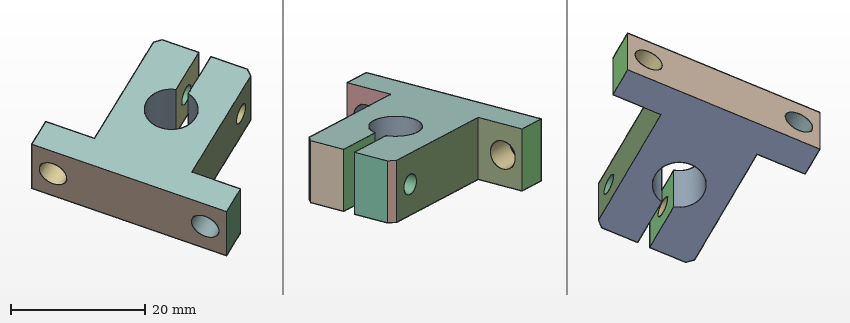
import cadquery as cq

base_length = 32.0
base_thickness = 5.0
height = 10.0

total_depth = 27.0
block_width = base_length / 2
corner_chamfer = 1.0

bore_diameter = 8.0
bore_y = 15.0
slot_width = 2.0

mount_diameter = 4.5
mount_spacing = 25.0

screw_diameter = 3.23
screw_from_end = 4.48


def make_body():
    """T-shaped body with the two free corners of the block chamfered."""
    flange = cq.Workplane("XY").box(base_length, base_thickness, height, centered=(True, False, True))
    block = (
        cq.Workplane("XY")
        .box(block_width, total_depth, height, centered=(True, False, True))
        .edges("|Z and >Y")
        .chamfer(corner_chamfer)
    )
    return flange.union(block)


def make_shaft_clamp():
    """Bore along Z and the slot from its centre out through the +Y end."""
    bore = cq.Workplane("XY").center(0, bore_y).circle(bore_diameter / 2).extrude(height / 2, both=True)
    slot = (
        cq.Workplane("XY")
        .center(0, bore_y)
        .box(slot_width, total_depth - bore_y, height, centered=(True, False, True))
    )
    return bore.union(slot)


def make_mount_holes():
    """Pair of holes through the flange wings."""
    return (
        cq.Workplane("XZ")
        .pushPoints([(side * mount_spacing / 2, 0) for side in (-1, 1)])
        .circle(mount_diameter / 2)
        .extrude(-base_thickness)
    )


def make_screw_hole():
    """Hole through both clamp jaws."""
    return (
        cq.Workplane("YZ")
        .center(total_depth - screw_from_end, 0)
        .circle(screw_diameter / 2)
        .extrude(block_width / 2, both=True)
    )


result = make_body().cut(make_shaft_clamp()).cut(make_mount_holes()).cut(make_screw_hole())